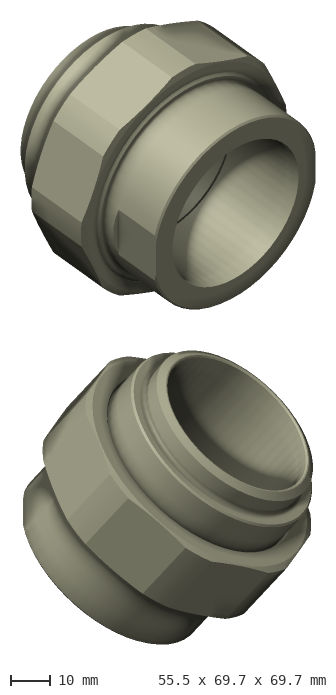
import cadquery as cq
import math


TOTAL_LENGTH = 55.5

PIPE_DIAMETER = 48.3
TAIL_BORE_DIAMETER = 42.7
TIP_BORE_CHAMFER = 0.4
BEVEL_TIP_DIAMETER = 44.2
BEVEL_ANGLE = 30
COLLAR_DIAMETER = 56.0
COLLAR_START = 6.5
COLLAR_CHAMFER = 0.5
PIPE_FILLET = 1.0
TAIL_FLANGE_DIAMETER = 60.0
JOINT_X = 29.5

NUT_START = 16.5
NUT_LENGTH = 20.0
NUT_SIDES = 8
NUT_ACROSS_FLATS = 67.0
NUT_CORNER_DIAMETER = 1.04 * NUT_ACROSS_FLATS
NUT_FACE_DIAMETER = 66.3
NUT_CHAMFER_ANGLE = 20
NUT_LIP_DIAMETER = 56.5
NUT_LIP_THICKNESS = 4.0
NUT_LIP_CHAMFER = 0.4
THREAD_DIAMETER = 60.38

THREAD_END = 37.1
THREAD_CHAMFER = 0.8
BODY_DIAMETER = 56.0
BODY_FILLET = 0.6
BODY_END_CHAMFER = 0.5
BODY_BORE_DIAMETER = 42.7
RECESS_DIAMETER = 45.2
RECESS_DEPTH = 0.6
WRENCH_ACROSS_FLATS = 54.0
WRENCH_FLAT_START = 41.5

nut_end = NUT_START + NUT_LENGTH
flange_start = NUT_START + NUT_LIP_THICKNESS


def revolve_about_x(profile):
    """Turn a closed (x, radius) profile a full turn about the X axis."""
    return profile.close().revolve(360, (0, 0, 0), (1, 0, 0))


def make_tailpiece():
    bore_radius = TAIL_BORE_DIAMETER / 2
    tip_radius = BEVEL_TIP_DIAMETER / 2
    pipe_radius = PIPE_DIAMETER / 2
    collar_radius = COLLAR_DIAMETER / 2
    flange_radius = TAIL_FLANGE_DIAMETER / 2
    bevel_length = (pipe_radius - tip_radius) * math.tan(math.radians(BEVEL_ANGLE))
    profile = (
        cq.Workplane("XY")
        .moveTo(TIP_BORE_CHAMFER, bore_radius)
        .lineTo(0, bore_radius + TIP_BORE_CHAMFER)
        .lineTo(0, tip_radius)
        .lineTo(bevel_length, pipe_radius)
        .lineTo(COLLAR_START - PIPE_FILLET, pipe_radius)
        .radiusArc((COLLAR_START, pipe_radius + PIPE_FILLET), -PIPE_FILLET)
        .lineTo(COLLAR_START, collar_radius - COLLAR_CHAMFER)
        .lineTo(COLLAR_START + COLLAR_CHAMFER, collar_radius)
        .lineTo(flange_start, collar_radius)
        .lineTo(flange_start, flange_radius)
        .lineTo(JOINT_X, flange_radius)
        .lineTo(JOINT_X, bore_radius)
    )
    return revolve_about_x(profile)


def make_nut():
    octagon_diameter = NUT_ACROSS_FLATS / math.cos(math.pi / NUT_SIDES)
    octagon = (
        cq.Workplane("YZ", origin=(NUT_START, 0, 0))
        .polygon(NUT_SIDES, octagon_diameter)
        .extrude(NUT_LENGTH)
    )

    corner_radius = NUT_CORNER_DIAMETER / 2
    face_radius = NUT_FACE_DIAMETER / 2
    chamfer_length = (corner_radius - face_radius) * math.tan(math.radians(NUT_CHAMFER_ANGLE))
    envelope = revolve_about_x(
        cq.Workplane("XY")
        .moveTo(NUT_START, 0)
        .lineTo(NUT_START, face_radius)
        .lineTo(NUT_START + chamfer_length, corner_radius)
        .lineTo(nut_end - chamfer_length, corner_radius)
        .lineTo(nut_end, face_radius)
        .lineTo(nut_end, 0)
    )

    lip_radius = NUT_LIP_DIAMETER / 2
    thread_radius = THREAD_DIAMETER / 2
    bore = revolve_about_x(
        cq.Workplane("XY")
        .moveTo(NUT_START, 0)
        .lineTo(NUT_START, lip_radius + NUT_LIP_CHAMFER)
        .lineTo(NUT_START + NUT_LIP_CHAMFER, lip_radius)
        .lineTo(flange_start, lip_radius)
        .lineTo(flange_start, thread_radius)
        .lineTo(nut_end, thread_radius)
        .lineTo(nut_end, 0)
    )
    return octagon.intersect(envelope).cut(bore)


def make_wrench_flat_cutter(side):
    """Slab outside one wrench flat, with a 45 degree run-out at its inner end."""
    flat_y = WRENCH_ACROSS_FLATS / 2
    outer_y = BODY_DIAMETER
    return (
        cq.Workplane("XY")
        .moveTo(WRENCH_FLAT_START, side * flat_y)
        .lineTo(TOTAL_LENGTH, side * flat_y)
        .lineTo(TOTAL_LENGTH, side * outer_y)
        .lineTo(WRENCH_FLAT_START - (outer_y - flat_y), side * outer_y)
        .close()
        .extrude(BODY_DIAMETER / 2, both=True)
    )


def make_body():
    bore_radius = BODY_BORE_DIAMETER / 2
    thread_radius = THREAD_DIAMETER / 2
    recess_radius = RECESS_DIAMETER / 2
    body_radius = BODY_DIAMETER / 2
    profile = (
        cq.Workplane("XY")
        .moveTo(JOINT_X, recess_radius)
        .lineTo(JOINT_X, thread_radius)
        .lineTo(THREAD_END - THREAD_CHAMFER, thread_radius)
        .lineTo(THREAD_END, thread_radius - THREAD_CHAMFER)
        .lineTo(THREAD_END, body_radius + BODY_FILLET)
        .radiusArc((THREAD_END + BODY_FILLET, body_radius), -BODY_FILLET)
        .lineTo(TOTAL_LENGTH - BODY_END_CHAMFER, body_radius)
        .lineTo(TOTAL_LENGTH, body_radius - BODY_END_CHAMFER)
        .lineTo(TOTAL_LENGTH, bore_radius)
        .lineTo(JOINT_X + RECESS_DEPTH, bore_radius)
        .lineTo(JOINT_X + RECESS_DEPTH, recess_radius)
    )
    body = revolve_about_x(profile)
    for side in (-1, 1):
        body = body.cut(make_wrench_flat_cutter(side))
    return body


tailpiece = make_tailpiece()
nut = make_nut()
body = make_body()

result = cq.Compound.makeCompound([tailpiece.val(), nut.val(), body.val()])